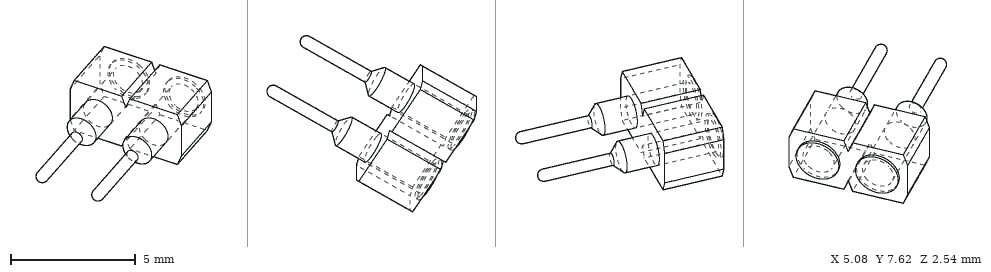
import cadquery as cq
import math

pin_count = 2
pitch = 2.54
housing_depth = 2.54
cell_height = 2.54
bevel_height = 0.51
bevel_angle = 20.0
bevel_width = bevel_height * math.tan(math.radians(bevel_angle))

head_diameter = 1.83
head_thickness = 0.127
barrel_diameter = 1.32
tail_diameter = 0.51
overall_length = 7.62
barrel_length = 1.38
cone_length = (barrel_diameter - tail_diameter) / 2

housing_back = housing_depth
head_back = housing_back + head_thickness
tail_tip = head_back - overall_length
cone_start = -barrel_length
cone_end = cone_start - cone_length

row_length = pin_count * pitch
pin_positions = [(i + 0.5) * pitch - row_length / 2 for i in range(pin_count)]


def make_cell(x):
    """One octagonal housing cell, bevelled at its four corners."""
    half_width = pitch / 2
    half_flat = half_width - bevel_width
    half_height = cell_height / 2
    half_side = half_height - bevel_height
    outline = [
        (half_width, -half_side),
        (half_width, half_side),
        (half_flat, half_height),
        (-half_flat, half_height),
        (-half_width, half_side),
        (-half_width, -half_side),
        (-half_flat, -half_height),
        (half_flat, -half_height),
    ]
    return (
        cq.Workplane("XZ", origin=(x, housing_back, 0))
        .polyline(outline)
        .close()
        .extrude(housing_depth)
    )


def make_housing():
    """Cells joined side by side, with a through hole for each pin barrel."""
    housing = make_cell(pin_positions[0])
    for x in pin_positions[1:]:
        housing = housing.union(make_cell(x))
    holes = (
        cq.Workplane("XZ", origin=(0, housing_back, 0))
        .pushPoints([(x, 0) for x in pin_positions])
        .circle(barrel_diameter / 2)
        .extrude(housing_depth)
    )
    return housing.cut(holes).clean()


def make_pin(x):
    """Head, barrel, cone and round-ended tail, revolved about the pin axis."""
    head_radius = head_diameter / 2
    barrel_radius = barrel_diameter / 2
    tail_radius = tail_diameter / 2
    dome_centre = tail_tip + tail_radius
    dome_offset = tail_radius * math.sqrt(0.5)
    return (
        cq.Workplane("XY", origin=(x, 0, 0))
        .moveTo(0, head_back)
        .lineTo(head_radius, head_back)
        .lineTo(head_radius, housing_back)
        .lineTo(barrel_radius, housing_back)
        .lineTo(barrel_radius, cone_start)
        .lineTo(tail_radius, cone_end)
        .lineTo(tail_radius, dome_centre)
        .threePointArc((dome_offset, dome_centre - dome_offset), (0, tail_tip))
        .close()
        .revolve(360, (0, 0), (0, 1))
    )


housing = make_housing()
pins = [make_pin(x) for x in pin_positions]

result = cq.Compound.makeCompound([housing.val(), *[pin.val() for pin in pins]])